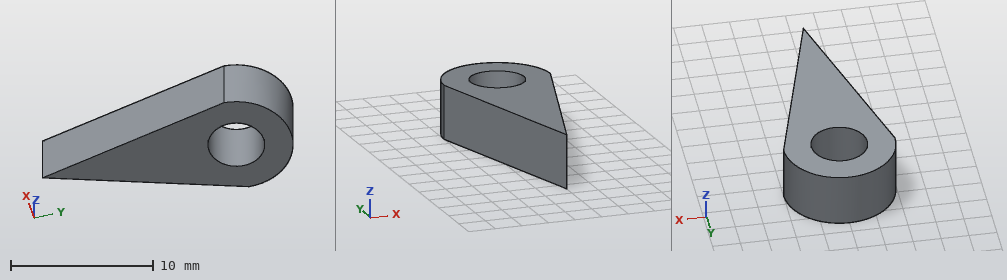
import cadquery as cq

length = 18.0
head_radius = 4.0
hole_radius = head_radius / 2
thickness = head_radius

tip_y = head_radius - length

pointer = (
    cq.Workplane("XY")
    .moveTo(head_radius, 0)
    .threePointArc((0, head_radius), (-head_radius, 0))
    .lineTo(0, tip_y)
    .close()
    .extrude(thickness)
)

hole = cq.Workplane("XY").circle(hole_radius).extrude(thickness)

result = pointer.cut(hole)